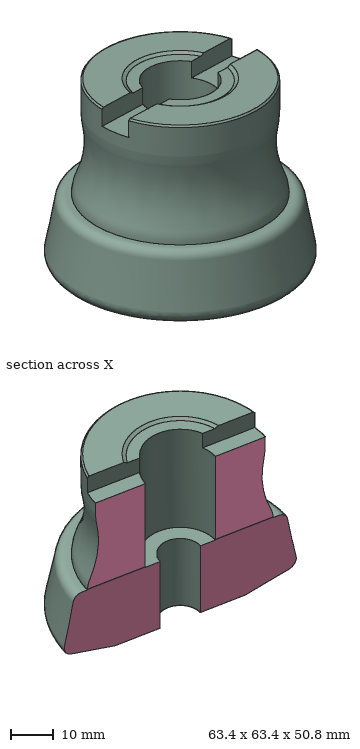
import cadquery as cq

TOTAL_HEIGHT = 50.8
SEAM_Z = 20.4
FOOT_TOP_Z = 23.55
WAIST_Z = 34.2
SHOULDER_Z = 39.45
COLLAR_Z = 42.6

COLLAR_RADIUS = 46.45 / 2
SHOULDER_RADIUS = 22.9
WAIST_RADIUS = 22.4
FOOT_TOP_RADIUS = 24.7
FOOT_RADIUS = 50.8 / 2
TOP_CHAMFER = 0.45

BORE_DIAMETER = 19.05
RECESS_RADIUS = 13.6
RECESS_FLOOR_RADIUS = 12.6
RECESS_DEPTH = 0.5
SLOT_WIDTH = 8.25
SLOT_DEPTH = 4.9

SCREW_HOLE_DIAMETER = 11.0
BOTTOM_FLAT_RADIUS = 17.75
BASE_TOP_RADIUS = 28.9
BASE_RIM_RADIUS = 32.15
BASE_RIM_Z = 3.25
BASE_TOP_FILLET = 2.55
BASE_RIM_FILLET = 2.7


def make_hub_blank():
    """Revolved waisted hub with a chamfered collar."""
    outline = (
        cq.Workplane("XZ")
        .moveTo(COLLAR_RADIUS - TOP_CHAMFER, TOTAL_HEIGHT)
        .lineTo(COLLAR_RADIUS, TOTAL_HEIGHT - TOP_CHAMFER)
        .lineTo(COLLAR_RADIUS, COLLAR_Z)
        .tangentArcPoint((SHOULDER_RADIUS, SHOULDER_Z), relative=False)
        .threePointArc((WAIST_RADIUS, WAIST_Z), (FOOT_TOP_RADIUS, FOOT_TOP_Z))
        .tangentArcPoint((FOOT_RADIUS, SEAM_Z), relative=False)
        .lineTo(0, SEAM_Z)
        .lineTo(0, TOTAL_HEIGHT)
        .close()
    )
    return outline.revolve()


def make_top_recess():
    """Shallow conical recess around the mouth of the bore."""
    floor_z = TOTAL_HEIGHT - RECESS_DEPTH
    return (
        cq.Workplane("XZ")
        .moveTo(0, floor_z)
        .lineTo(RECESS_FLOOR_RADIUS, floor_z)
        .lineTo(RECESS_RADIUS, TOTAL_HEIGHT)
        .lineTo(0, TOTAL_HEIGHT)
        .close()
        .revolve()
    )


def make_drive_slot():
    """Slot along Y that crosses the whole top face."""
    return (
        cq.Workplane("XY", origin=(0, 0, TOTAL_HEIGHT))
        .rect(SLOT_WIDTH, 2 * FOOT_RADIUS)
        .extrude(-SLOT_DEPTH)
    )


def make_bore():
    """Bore through the full height of the hub; the base forms its floor."""
    return (
        cq.Workplane("XY", origin=(0, 0, SEAM_Z))
        .circle(BORE_DIAMETER / 2)
        .extrude(TOTAL_HEIGHT - SEAM_Z)
    )


def make_hub():
    return make_hub_blank().cut(make_bore()).cut(make_top_recess()).cut(make_drive_slot())


def make_base():
    """Flared base with rounded top edge and rim, and a central screw hole."""
    hole_radius = SCREW_HOLE_DIAMETER / 2
    blank = (
        cq.Workplane("XZ")
        .moveTo(hole_radius, 0)
        .lineTo(BOTTOM_FLAT_RADIUS, 0)
        .lineTo(BASE_RIM_RADIUS, BASE_RIM_Z)
        .lineTo(BASE_TOP_RADIUS, SEAM_Z)
        .lineTo(hole_radius, SEAM_Z)
        .close()
        .revolve()
    )
    top_edge = cq.selectors.RadiusNthSelector(-1)
    rounded_top = blank.faces(">Z").edges(top_edge).fillet(BASE_TOP_FILLET)
    return rounded_top.edges(cq.selectors.RadiusNthSelector(-1)).fillet(BASE_RIM_FILLET)


hub = make_hub()
base = make_base()

result = cq.Compound.makeCompound([hub.val(), base.val()])